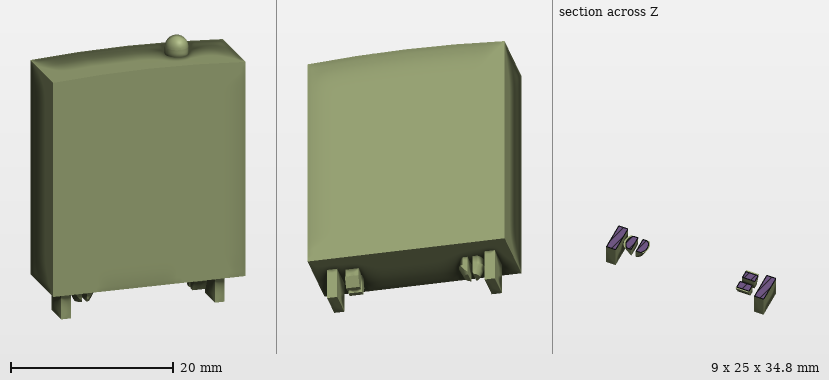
import cadquery as cq

body_width = 9.0
body_length = 25.0
edge_height = 28.0
crown_rise = 0.5

blade_depth = 4.0
blade_width = 3.8
blade_thickness = 1.3
blade_offset = 10.0

lamp_radius = 1.45
lamp_y = 5.0
lamp_top = 34.82 - blade_depth

clip_depth = 2.4
barb_depth = 1.1
stem_radius = 1.43
barb_radius = 1.65
tip_radius = 0.97
clip_slot = 0.63
round_clip_y = -7.3
round_clip_width = 2.15
flat_clip_y = 7.6
flat_clip_width = 1.7
root_overlap = 0.35


def make_housing():
    """Box whose top is a shallow arch along Y."""
    half_length = body_length / 2
    return (
        cq.Workplane("YZ")
        .moveTo(-half_length, 0)
        .lineTo(half_length, 0)
        .lineTo(half_length, edge_height)
        .threePointArc((0, edge_height + crown_rise), (-half_length, edge_height))
        .close()
        .extrude(body_width / 2, both=True)
    )


def make_blade(y):
    """Rectangular contact blade below the housing."""
    return (
        cq.Workplane("XY")
        .center(0, y)
        .rect(blade_width, blade_thickness)
        .extrude(-blade_depth)
    )


def make_lamp():
    """Cylindrical lamp with a hemispherical end."""
    dome_base = lamp_top - lamp_radius
    stem = (
        cq.Workplane("XY")
        .workplane(offset=edge_height)
        .circle(lamp_radius)
        .extrude(dome_base - edge_height)
    )
    dome = cq.Workplane("XY").sphere(lamp_radius).translate((0, 0, dome_base))
    return stem.union(dome).translate((0, lamp_y, 0))


def clip_half_profile():
    """Barbed half section in XZ, from the clip axis outward."""
    return (
        cq.Workplane("XZ")
        .moveTo(0, root_overlap)
        .lineTo(stem_radius, root_overlap)
        .lineTo(stem_radius, -barb_depth)
        .lineTo(barb_radius, -barb_depth)
        .lineTo(tip_radius, -clip_depth)
        .lineTo(0, -clip_depth)
        .close()
    )


def slot_cutter():
    """Block that splits a clip into two prongs, spaced along X."""
    return (
        cq.Workplane("XY")
        .rect(clip_slot, 2 * barb_radius)
        .extrude(-clip_depth)
    )


def make_round_clip():
    """Conical barb with flattened sides and prongs spaced along Y."""
    flat_sides = cq.Workplane("XY").box(2 * barb_radius, round_clip_width, 2 * clip_depth)
    clip = clip_half_profile().revolve(360, (0, 0), (0, 1)).intersect(flat_sides)
    clip = clip.cut(slot_cutter())
    return clip.rotate((0, 0, 0), (0, 0, 1), 90).translate((0, round_clip_y, 0))


def make_flat_clip():
    """Straight-sided barb with prongs spaced along X."""
    half = clip_half_profile().extrude(flat_clip_width / 2, both=True)
    clip = half.union(half.mirror("YZ")).cut(slot_cutter())
    return clip.translate((0, flat_clip_y, 0))


result = make_housing().union(make_lamp())
for blade_y in (-blade_offset, blade_offset):
    result = result.union(make_blade(blade_y))
result = result.union(make_round_clip()).union(make_flat_clip())